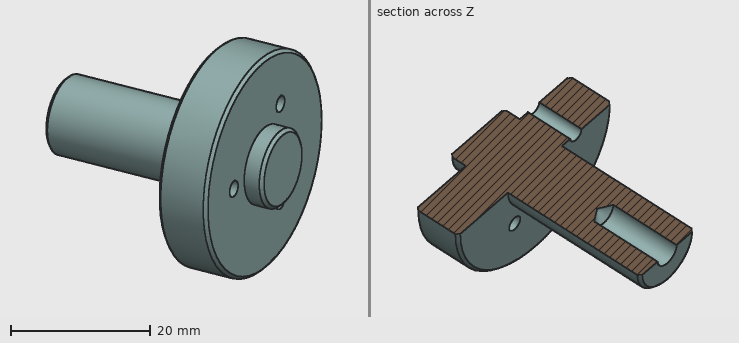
import cadquery as cq
import math

length = 36.0
shaft_diameter = 12.0
flange_diameter = 34.0
flange_start = 25.0
flange_thickness = 8.03
edge_chamfer = 0.5

bolt_hole_diameter = 2.45
bolt_circle_radius = 9.0
bolt_hole_count = 3
first_bolt_angle = 180.0

bore_diameter = 4.15
bore_depth = 12.0
drill_tip_angle = 118.0


def chamfered_cylinder(start, thickness, diameter):
    """Cylinder along +X with both end edges chamfered."""
    disc = cq.Workplane("YZ", origin=(start, 0, 0)).circle(diameter / 2).extrude(thickness)
    return disc.edges().chamfer(edge_chamfer)


def drilled_bore():
    """Blind hole from the X = 0 end, finished by a conical drill tip."""
    radius = bore_diameter / 2
    tip_length = radius / math.tan(math.radians(drill_tip_angle / 2))
    profile = (
        cq.Workplane("XY")
        .moveTo(0, 0)
        .lineTo(0, radius)
        .lineTo(bore_depth, radius)
        .lineTo(bore_depth + tip_length, 0)
        .close()
    )
    return profile.revolve(360, (0, 0, 0), (1, 0, 0))


def bolt_holes():
    """Evenly spaced cutters running through the flange."""
    return (
        cq.Workplane("YZ", origin=(flange_start, 0, 0))
        .polarArray(bolt_circle_radius, first_bolt_angle, 360, bolt_hole_count)
        .circle(bolt_hole_diameter / 2)
        .extrude(flange_thickness)
    )


shaft = chamfered_cylinder(0, length, shaft_diameter)
flange = chamfered_cylinder(flange_start, flange_thickness, flange_diameter)
result = shaft.union(flange).cut(drilled_bore()).cut(bolt_holes())